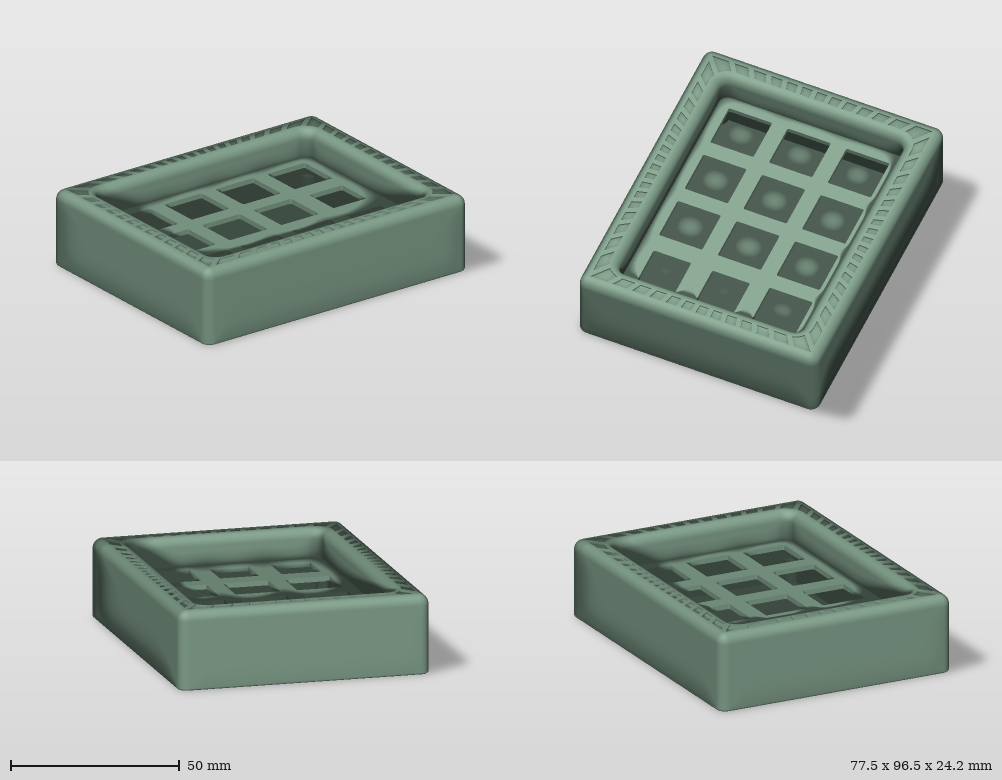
import cadquery as cq
import math

length_x = 77.45
length_y = 96.45
height = 24.2
corner_radius = 3.0

base_height = 13.7
plate_thickness = 1.5
plate_top = base_height + plate_thickness
frame_height = height - plate_top

base_wall = 7.1
floor_thickness = 1.5
bottom_edge_radius = 0.6
post_diameter = 5.8
post_top = 8.4

columns = 3
rows = 4
key_pitch = 19.0
window_size = 14.0
small_window_size = 12.2
small_windows = [(1, 3), (2, 3)]
window_corner_radius = 0.5

frame_wall = 9.0
rim_radius = 3.0
opening_corner_radius = 2.9
panel_depth = 0.5
bar_width = 1.5
bar_count = 60
bar_step = 360 / bar_count


def rounded_block(size_x, size_y, size_z, bottom, radius):
    """Upright block centred on the Z axis with rounded vertical edges."""
    block = cq.Workplane("XY", origin=(0, 0, bottom)).rect(size_x, size_y).extrude(size_z)
    return block.edges("|Z").fillet(radius)


def make_base():
    cavity_x = length_x - 2 * base_wall
    cavity_y = length_y - 2 * base_wall
    body = rounded_block(length_x, length_y, base_height, 0, corner_radius)
    body = body.faces("<Z").edges().fillet(bottom_edge_radius)
    cavity = (
        cq.Workplane("XY", origin=(0, 0, floor_thickness))
        .rect(cavity_x, cavity_y)
        .extrude(base_height - floor_thickness)
    )
    posts = (
        cq.Workplane("XY")
        .rect(cavity_x, cavity_y, forConstruction=True)
        .vertices()
        .circle(post_diameter / 2)
        .extrude(post_top)
    )
    return body.cut(cavity).union(posts)


def make_plate():
    plate = rounded_block(length_x, length_y, plate_thickness, base_height, corner_radius)
    for column in range(columns):
        for row in range(rows):
            size = small_window_size if (column, row) in small_windows else window_size
            x = (column - (columns - 1) / 2) * key_pitch
            y = (row - (rows - 1) / 2) * key_pitch
            window = rounded_block(size, size, plate_thickness, base_height, window_corner_radius)
            plate = plate.cut(window.translate((x, y, 0)))
    return plate


def make_rim_panels():
    """Sunken panels: the flat ring on top of the rim, minus the radial bars."""
    bottom = height - panel_depth
    inset = frame_wall - rim_radius
    ring = cq.Workplane("XY", origin=(0, 0, bottom))
    ring = ring.rect(length_x - 2 * rim_radius, length_y - 2 * rim_radius).extrude(panel_depth)
    centre = rounded_block(
        length_x - 2 * inset,
        length_y - 2 * inset,
        panel_depth,
        bottom,
        opening_corner_radius + rim_radius,
    )
    panels = ring.cut(centre)
    bar_reach = math.hypot(length_x, length_y)
    for index in range(bar_count // 2):
        bar = (
            cq.Workplane("XY", origin=(0, 0, bottom))
            .rect(bar_reach, bar_width)
            .extrude(panel_depth)
            .rotate((0, 0, 0), (0, 0, 1), (index + 0.5) * bar_step)
        )
        panels = panels.cut(bar)
    return panels


def make_frame():
    opening_x = length_x - 2 * frame_wall
    opening_y = length_y - 2 * frame_wall
    body = rounded_block(length_x, length_y, frame_height, plate_top, corner_radius)
    opening = rounded_block(opening_x, opening_y, frame_height, plate_top, opening_corner_radius)
    body = body.cut(opening)
    body = body.faces(">Z").edges().fillet(rim_radius)
    return body.cut(make_rim_panels())


base = make_base()
plate = make_plate()
frame = make_frame()

result = cq.Compound.makeCompound([base.val(), plate.val(), frame.val()])